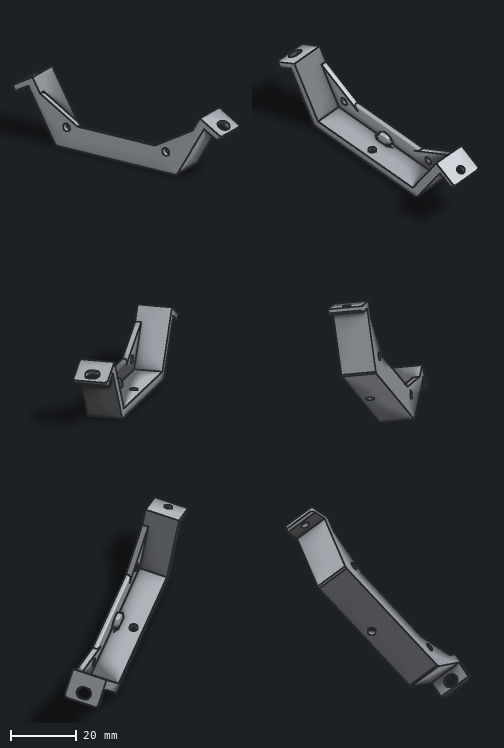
import cadquery as cq
import math

length = 77.1
depth = 11.0
height = 20.7

tilt = math.radians(30)
strip_thickness = 3.0
flange_thickness = 2.0
flange_length = 9.0
flange_corner_radius = 1.0
tip_bevel = 0.8
bottom_bevel = 0.5

wall_thickness = 2.0
wall_height = 8.0
wall_half_width = 14.2
wall_edge_radius = 1.15

boss_diameter = 5.9
boss_length = 1.85
boss_edge_radius = 0.9
boss_foot_radius = 0.85

hole_diameter = 2.55
wall_hole_spacing = 36.45
wall_hole_height = 6.85
floor_hole_y = 8.0
flange_hole_from_tip = 3.0
slot_length = 4.55
slot_width = 3.55

top_x = length / 2 - flange_length * math.cos(tilt)
leg_width_x = strip_thickness / math.cos(tilt)


def inner_leg_x(z):
    """X of the inner leg face at height z."""
    return top_x - (height - z) * math.tan(tilt)


def mirrored_outline(right_points):
    """Sketch a closed outline that is symmetric about X = 0, given from bottom to top."""
    left_points = [(-x, z) for x, z in reversed(right_points)]
    return cq.Workplane("XZ").polyline(right_points + left_points).close()


def folded_strip():
    tip_x = length / 2
    tip_z = height - flange_length * math.sin(tilt)
    under_tip = (tip_x - flange_thickness * math.sin(tilt), tip_z - flange_thickness * math.cos(tilt))
    inner_corner = (
        top_x + strip_thickness * math.cos(tilt) - flange_thickness * math.sin(tilt),
        height - strip_thickness * math.sin(tilt) - flange_thickness * math.cos(tilt),
    )
    right_points = [
        (inner_leg_x(0) + leg_width_x, 0),
        inner_corner,
        under_tip,
        (tip_x, tip_z),
        (top_x, height),
        (inner_leg_x(strip_thickness), strip_thickness),
    ]
    strip = mirrored_outline(right_points).extrude(-depth)
    for side in (-1, 1):
        lower_tip_edge = cq.selectors.NearestToPointSelector((side * under_tip[0], depth / 2, under_tip[1]))
        strip = strip.edges(lower_tip_edge).chamfer(tip_bevel)
        mid_tip = (side * (tip_x + under_tip[0]) / 2, (tip_z + under_tip[1]) / 2)
        for y in (0, depth):
            corner = cq.selectors.NearestToPointSelector((mid_tip[0], y, mid_tip[1]))
            strip = strip.edges(corner).fillet(flange_corner_radius)
    return strip


def front_wall():
    slope = math.tan(tilt)
    foot_x = inner_leg_x(wall_height)
    shoulder_x = (foot_x - wall_half_width * slope**2) / (1 - slope**2)
    shoulder_z = wall_height + (shoulder_x - wall_half_width) * slope
    right_points = [
        (inner_leg_x(0) + leg_width_x, 0),
        (inner_leg_x(shoulder_z) + leg_width_x, shoulder_z),
        (shoulder_x, shoulder_z),
        (wall_half_width, wall_height),
    ]
    wall = mirrored_outline(right_points).extrude(-wall_thickness)
    top_back_edge = cq.selectors.NearestToPointSelector((0, wall_thickness, wall_height))
    return wall.edges(top_back_edge).fillet(wall_edge_radius)


def boss():
    """Round boss along Y, centred on the floor's top face, with a rounded back end."""
    return (
        cq.Workplane("XZ", origin=(0, wall_thickness, strip_thickness))
        .circle(boss_diameter / 2)
        .extrude(-boss_length)
        .faces(">Y")
        .edges()
        .fillet(boss_edge_radius)
        .intersect(cq.Workplane("XY").box(length, depth, height, centered=(True, False, False)))
    )


def boss_foot():
    """Concave flares joining the boss sides to the floor, tapering in plan along the rounded end."""
    radius = boss_diameter / 2
    foot_x = radius + boss_foot_radius
    flare = (
        cq.Workplane("XZ", origin=(0, wall_thickness, strip_thickness))
        .moveTo(-foot_x, 0)
        .lineTo(foot_x, 0)
        .radiusArc((radius, boss_foot_radius), boss_foot_radius)
        .lineTo(-radius, boss_foot_radius)
        .radiusArc((-foot_x, 0), boss_foot_radius)
        .close()
        .extrude(-boss_length)
    )
    taper_start = boss_length - boss_edge_radius
    plan = (
        cq.Workplane("XY", origin=(0, wall_thickness, 0))
        .polyline([
            (-foot_x, 0),
            (foot_x, 0),
            (foot_x, taper_start),
            (radius - boss_edge_radius, boss_length),
            (boss_edge_radius - radius, boss_length),
            (-foot_x, taper_start),
        ])
        .close()
        .extrude(height)
    )
    return flare.intersect(plan)


def flange_plane(side):
    """Plane on the flange top at its hole centre, local X running toward the tip."""
    x = length / 2 - flange_hole_from_tip * math.cos(tilt)
    z = height - (flange_length - flange_hole_from_tip) * math.sin(tilt)
    return cq.Plane(
        origin=(side * x, depth / 2, z),
        xDir=(side * math.cos(tilt), 0, -math.sin(tilt)),
        normal=(side * math.sin(tilt), 0, math.cos(tilt)),
    )


wall_holes = (
    cq.Workplane("XZ")
    .pushPoints([(side * wall_hole_spacing / 2, wall_hole_height) for side in (-1, 1)])
    .circle(hole_diameter / 2)
    .extrude(-depth)
)
floor_hole = cq.Workplane("XY").center(0, floor_hole_y).circle(hole_diameter / 2).extrude(strip_thickness)
left_hole = cq.Workplane(flange_plane(-1)).circle(hole_diameter / 2).extrude(-flange_thickness)
right_slot = cq.Workplane(flange_plane(1)).slot2D(slot_length, slot_width, 90).extrude(-flange_thickness)

result = folded_strip().union(front_wall()).union(boss()).union(boss_foot())
for side in (-1, 1):
    bottom_edge = cq.selectors.NearestToPointSelector((side * (inner_leg_x(0) + leg_width_x), depth / 2, 0))
    result = result.edges(bottom_edge).chamfer(bottom_bevel)
for opening in (wall_holes, floor_hole, left_hole, right_slot):
    result = result.cut(opening)